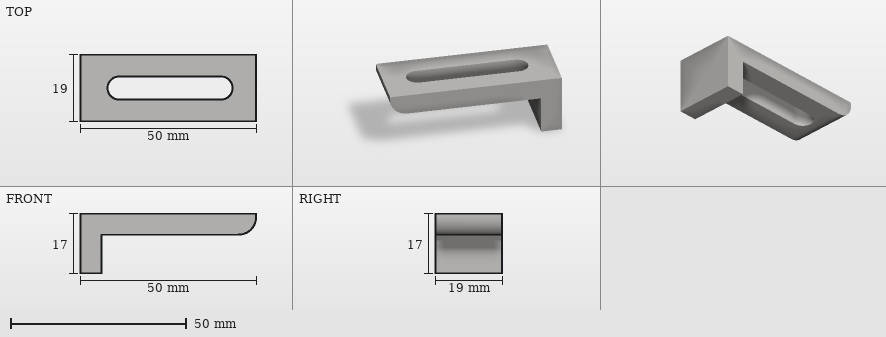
import cadquery as cq

length = 50.0
width = 19.0
height = 17.0

arm_thickness = 6.0
leg_thickness = 6.0
nose_radius = 5.0

slot_width = 6.5
slot_start_center = 11.0
slot_end_center = 40.0


def make_body():
    """L-shaped clamp: a vertical leg at X = 0 and a horizontal arm with a rounded nose."""
    arm_bottom = height - arm_thickness
    outline = (
        cq.Workplane("XZ")
        .moveTo(0, 0)
        .lineTo(leg_thickness, 0)
        .lineTo(leg_thickness, arm_bottom)
        .lineTo(length - nose_radius, arm_bottom)
        .radiusArc((length, arm_bottom + nose_radius), -nose_radius)
        .lineTo(length, height)
        .lineTo(0, height)
        .close()
    )
    return outline.extrude(width / 2, both=True)


def make_slot_cutter():
    """Round-ended slot, centred across the width, as tall as the whole part."""
    center_x = (slot_start_center + slot_end_center) / 2
    slot_length = slot_end_center - slot_start_center + slot_width
    return cq.Workplane("XY").center(center_x, 0).slot2D(slot_length, slot_width).extrude(height)


result = make_body().cut(make_slot_cutter())